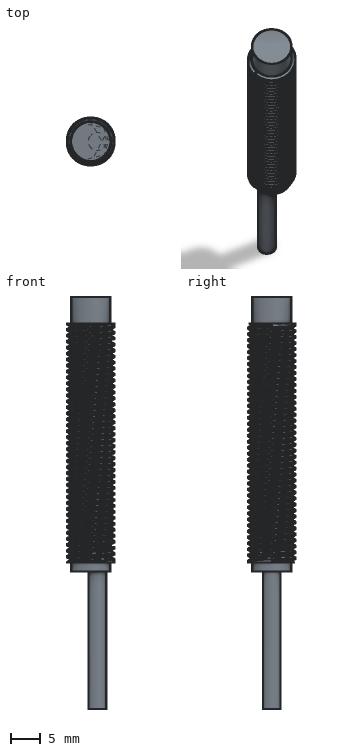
import cadquery as cq
import math

thread_diameter = 8.0
thread_pitch = 1.0
thread_length = 40.0
flank_half_angle = math.radians(30)
sharp_thread_height = thread_pitch / 2 / math.tan(flank_half_angle)
groove_depth = sharp_thread_height * 17 / 24
root_width = thread_pitch / 6
groove_overshoot = 0.05

end_diameter = 6.6
top_end_length = 4.5
bottom_end_length = 1.5

cable_diameter = 3.0
cable_length = 23.0
cable_offset_x = 1.1

bottom_end_height = cable_length
thread_bottom = bottom_end_height + bottom_end_length
thread_top = thread_bottom + thread_length


def cylinder(diameter, length, bottom, center_x=0.0):
    """Upright cylinder with its lower face at the given height."""
    return cq.Workplane("XY", origin=(center_x, 0, bottom)).circle(diameter / 2).extrude(length)


def groove_profile():
    """Corners (radius, height) of the trapezoidal groove section, centred on the thread's lower end."""
    root_radius = thread_diameter / 2 - groove_depth
    outer_radius = thread_diameter / 2 + groove_overshoot
    root_half = root_width / 2
    outer_half = root_half + (outer_radius - root_radius) * math.tan(flank_half_angle)
    return [
        (root_radius, thread_bottom - root_half),
        (outer_radius, thread_bottom - outer_half),
        (outer_radius, thread_bottom + outer_half),
        (root_radius, thread_bottom + root_half),
    ]


def thread_groove():
    """Right-hand helical groove from the bottom edge of the thread to its top edge, both at +X.

    Each profile corner traces a helix; ruled faces join neighbouring helices.
    """
    helices = [
        cq.Wire.makeHelix(thread_pitch, thread_length, radius).translate(cq.Vector(0, 0, height))
        for radius, height in groove_profile()
    ]
    faces = []
    for helix, next_helix in zip(helices, helices[1:] + helices[:1]):
        faces.extend(cq.Face.makeRuledSurface(helix, next_helix).Faces())

    start_corners = [helix.startPoint() for helix in helices]
    end_corners = [helix.endPoint() for helix in helices]
    for corners in (start_corners, end_corners):
        faces.append(cq.Face.makeFromWires(cq.Wire.makePolygon(corners, close=True)))

    return cq.Workplane(obj=cq.Solid.makeSolid(cq.Shell.makeShell(faces)))


barrel = cylinder(thread_diameter, thread_length, thread_bottom)
top_end = cylinder(end_diameter, top_end_length, thread_top)
bottom_end = cylinder(end_diameter, bottom_end_length, bottom_end_height)
cable = cylinder(cable_diameter, cable_length, 0, cable_offset_x)

body = barrel.union(top_end).union(bottom_end).union(cable)
result = body.cut(thread_groove()).solids()